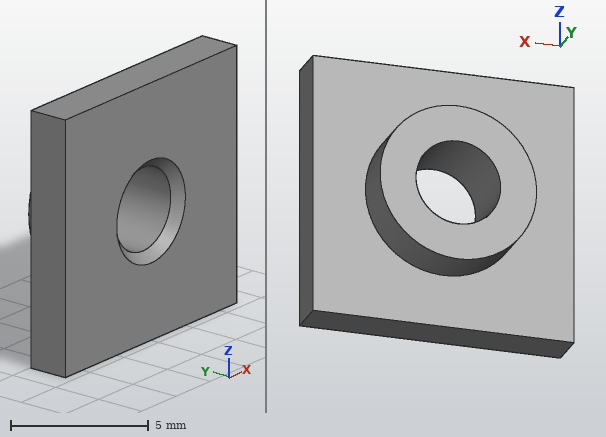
import cadquery as cq

plate_side = 10
plate_thickness = 1.6

boss_diameter = 6
boss_height = 1.7
total_depth = plate_thickness + boss_height

hole_diameter = 3.24
countersink_diameter = 4
countersink_angle = 90


def make_plate():
    """Square plate with its front face at y = 0."""
    return cq.Workplane("XY").box(
        plate_side, plate_thickness, plate_side, centered=(True, False, True)
    )


def add_boss(body):
    """Join the round boss to the back of the plate."""
    return body.faces(">Y").workplane(origin=(0, 0, 0)).circle(boss_diameter / 2).extrude(boss_height)


def cut_hole(body):
    """Drill the countersunk hole from the front face through the boss."""
    return (
        body.faces("<Y")
        .workplane(origin=(0, 0, 0))
        .cskHole(hole_diameter, countersink_diameter, countersink_angle, depth=total_depth)
    )


result = cut_hole(add_boss(make_plate()))